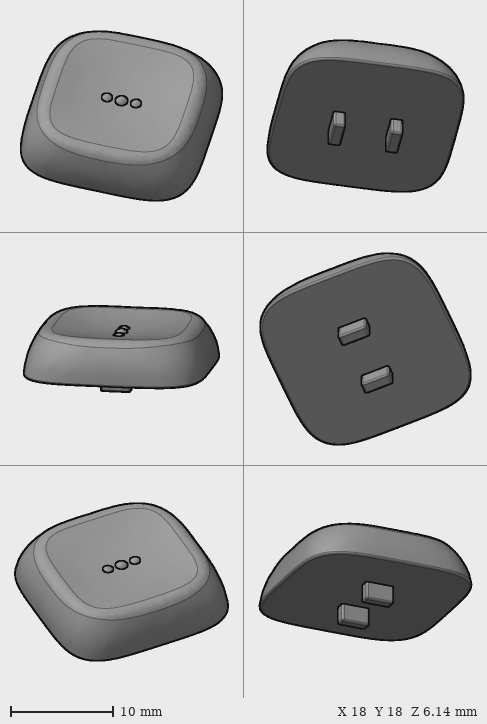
import cadquery as cq
import math

HALF_SIDE = 8.98
WALL_RADIUS = 6.74
BLANK_HEIGHT = 5.03
SECTION_COUNT = 6
BASE_SQUARENESS = 4.4
SQUARENESS_LOSS = 1.4
SECTION_POINTS = 48
BASE_EDGE_RADIUS = 0.22

DISH_FLOOR = 3.41
DISH_HALF_SIDE = 6.47
DISH_SIDE_RISE = 0.85
DISH_CORNER_RELIEF = 0.67
DISH_PATCH_HALF_SIDE = 9.88
DISH_GRID = 12
RIM_RADIUS = 1.31

BUMP_BALL_RADIUS = 0.72
CENTER_BUMP_TOP = 3.77
SIDE_BUMP_TOP = 3.7
BUMP_PITCH = 1.5

LEG_SPACING = 5.7
LEG_WIDTH = 1.19
LEG_DEPTH = 2.95
LEG_LENGTH = 1.8
LEG_EDGE_RADIUS = 0.2
LEG_OVERLAP = 0.9


def half_width(z):
    """Half width of the cap, measured at the middle of a side."""
    return HALF_SIDE - WALL_RADIUS + math.sqrt(WALL_RADIUS**2 - z**2)


def squareness(z):
    """Superellipse exponent at height z: the cap gets rounder towards the top."""
    return BASE_SQUARENESS - SQUARENESS_LOSS * (z / BLANK_HEIGHT)


def section(z):
    """Closed superellipse wire at height z."""
    exponent = squareness(z)
    points = []
    for i in range(SECTION_POINTS):
        angle = 2 * math.pi * i / SECTION_POINTS
        x = math.cos(angle)
        y = math.sin(angle)
        reach = half_width(z) / (abs(x) ** exponent + abs(y) ** exponent) ** (1 / exponent)
        points.append(cq.Vector(reach * x, reach * y, z))
    return cq.Wire.assembleEdges([cq.Edge.makeSpline(points, periodic=True)])


def dish_height(x, y):
    """Height of the bowl surface above the cap's bottom."""
    u = (x / DISH_HALF_SIDE) ** 2
    v = (y / DISH_HALF_SIDE) ** 2
    return DISH_FLOOR + DISH_SIDE_RISE * (u + v - DISH_CORNER_RELIEF * u * v)


def make_dish_cutter():
    """Everything above the bowl surface, up past the top of the blank."""
    steps = [DISH_PATCH_HALF_SIDE * (2 * i / DISH_GRID - 1) for i in range(DISH_GRID + 1)]
    grid = [[cq.Vector(x, y, dish_height(x, y)) for y in steps] for x in steps]
    bowl = cq.Face.makeSplineApprox(grid)
    return cq.Solid.extrudeLinear(bowl, cq.Vector(0, 0, BLANK_HEIGHT))


def make_cap():
    """Lofted blank with the dish cut in and its rim and bottom edge rounded."""
    heights = [BLANK_HEIGHT * i / (SECTION_COUNT - 1) for i in range(SECTION_COUNT)]
    blank = cq.Workplane(obj=cq.Solid.makeLoft([section(z) for z in heights]))
    cap = blank.cut(cq.Workplane(obj=make_dish_cutter()))
    bowl_face = cap.faces(cq.selectors.NearestToPointSelector((0, 0, DISH_FLOOR)))
    cap = bowl_face.edges().fillet(RIM_RADIUS)
    return cap.faces("<Z").edges().fillet(BASE_EDGE_RADIUS)


def make_bump(x, top):
    """Ball whose upper part stands out of the dish floor."""
    return cq.Workplane().sphere(BUMP_BALL_RADIUS).translate((x, 0, top - BUMP_BALL_RADIUS))


def make_leg(x):
    """Rounded leg that starts inside the cap and hangs below it."""
    height = LEG_LENGTH + LEG_OVERLAP
    leg = cq.Workplane().box(LEG_WIDTH, LEG_DEPTH, height, centered=(True, True, False))
    leg = leg.edges("|Z or <Z").fillet(LEG_EDGE_RADIUS)
    return leg.translate((x, 0, -LEG_LENGTH))


result = make_cap()
result = result.union(make_bump(0, CENTER_BUMP_TOP))
for side in (-1, 1):
    result = result.union(make_bump(side * BUMP_PITCH, SIDE_BUMP_TOP))
    result = result.union(make_leg(side * LEG_SPACING / 2))